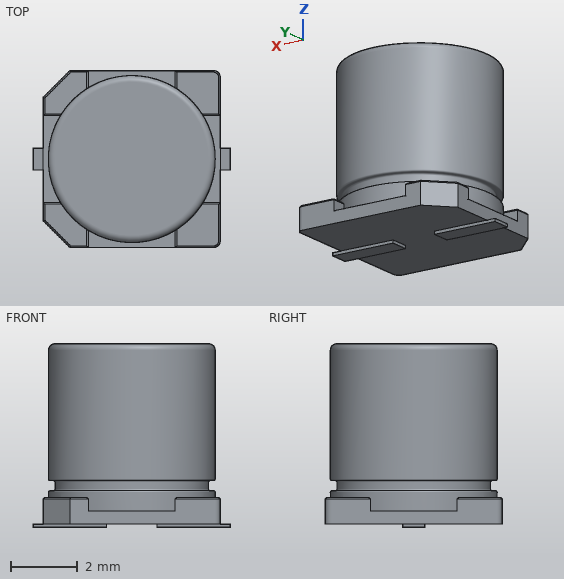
import cadquery as cq

total_height = 5.5
lead_thickness = 0.1

base_size = 5.3
base_height = 0.8
base_corner_cut = 0.8
base_corner_radius = 0.2
base_edge_chamfer = 0.05
base_top_z = lead_thickness + base_height
ledge_z = 0.5
gap_width = 2.6

can_diameter = 5.0
neck_diameter = 4.6
can_top_fillet = 0.2
groove_bottom_z = 1.1
groove_top_z = 1.4
groove_edge_fillet = 0.05

lead_span = 5.9
lead_length = 2.2
lead_width = 0.66


def make_base():
    """Square base with two cut corners at -X and a ledge across each side between the corner posts."""
    base = (
        cq.Workplane("XY")
        .box(base_size, base_size, base_height, centered=(True, True, False))
        .translate((0, 0, lead_thickness))
    )
    base = base.edges("|Z and <X").chamfer(base_corner_cut)
    base = base.edges("|Z and >X").fillet(base_corner_radius)
    gap_height = base_top_z - ledge_z
    for length_x, length_y in ((base_size, gap_width), (gap_width, base_size)):
        gap = (
            cq.Workplane("XY")
            .box(length_x, length_y, gap_height, centered=(True, True, False))
            .translate((0, 0, ledge_z))
        )
        base = base.cut(gap)
    return base.faces(">Z").edges().chamfer(base_edge_chamfer)


def make_can():
    """Round can standing on the ledge level, with a neck groove near its foot."""
    can = (
        cq.Workplane("XY")
        .workplane(offset=ledge_z)
        .circle(can_diameter / 2)
        .extrude(total_height - ledge_z)
    )
    can = can.faces(">Z").edges().fillet(can_top_fillet)
    groove = (
        cq.Workplane("XY")
        .workplane(offset=groove_bottom_z)
        .circle(can_diameter / 2)
        .circle(neck_diameter / 2)
        .extrude(groove_top_z - groove_bottom_z)
    )
    can = can.cut(groove)
    groove_edges = cq.selectors.BoxSelector(
        (-can_diameter, -can_diameter, groove_bottom_z - groove_edge_fillet),
        (can_diameter, can_diameter, groove_top_z + groove_edge_fillet),
    )
    return can.edges(groove_edges).edges("%CIRCLE").fillet(groove_edge_fillet)


def make_lead(side):
    """Flat lead under the base, reaching out past it; side is +1 for +X and -1 for -X."""
    lead_center_x = side * (lead_span - lead_length) / 2
    return (
        cq.Workplane("XY")
        .box(lead_length, lead_width, lead_thickness, centered=(True, True, False))
        .translate((lead_center_x, 0, 0))
    )


result = make_base().union(make_can())
for side in (-1, 1):
    result = result.union(make_lead(side))